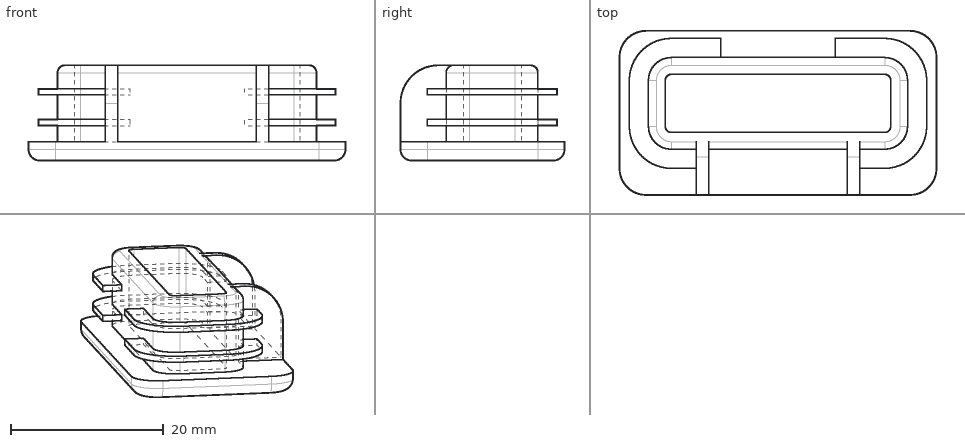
import cadquery as cq

flange_length = 41.5
flange_width = 21.5
flange_thickness = 2.5
flange_corner_radius = 3.5
flange_edge_radius = 1.5

total_height = 12.5
plug_length = 33.9
plug_width = 12.0
plug_corner_radius = 3.0
plug_rim_radius = 1.0
plug_back_margin = 3.5
plug_wall = 2.2
plug_height = total_height - flange_thickness
plug_center_y = flange_width / 2 - plug_back_margin - plug_width / 2

fin_overhang = 2.5
fin_thickness = 0.8
fin_bottom_heights = (4.6, 8.6)
fin_back_gap = 15.0

rib_thickness = 1.65
rib_clear_spacing = 18.1
rib_corner_radius = 5.0
rib_front_y = -flange_width / 2
rib_back_y = plug_center_y - plug_width / 2 + plug_rim_radius
rib_outer_spacing = rib_clear_spacing + 2 * rib_thickness


def rounded_block(length, width, height, corner_radius, center_y, bottom_z):
    """Upright block with rounded vertical edges, centred on x = 0."""
    return (
        cq.Workplane("XY", origin=(0, center_y, bottom_z))
        .rect(length, width)
        .extrude(height)
        .edges("|Z")
        .fillet(corner_radius)
    )


def make_flange():
    flange = rounded_block(
        flange_length, flange_width, flange_thickness, flange_corner_radius, 0, 0
    )
    return flange.faces("<Z").edges().fillet(flange_edge_radius)


def make_plug():
    plug = rounded_block(
        plug_length, plug_width, plug_height, plug_corner_radius, plug_center_y, flange_thickness
    )
    return plug.faces(">Z").edges().fillet(plug_rim_radius)


def make_cavity():
    """Blind pocket of even wall thickness, with its floor level with the flange top."""
    return rounded_block(
        plug_length - 2 * plug_wall,
        plug_width - 2 * plug_wall,
        plug_height,
        plug_corner_radius - plug_wall,
        plug_center_y,
        flange_thickness,
    )


def make_fin_pair(bottom_z):
    """Rounded sheet around the plug, cut away at the back and between the ribs."""
    fin_width = plug_width + 2 * fin_overhang
    fins = rounded_block(
        plug_length + 2 * fin_overhang,
        fin_width,
        fin_thickness,
        plug_corner_radius + fin_overhang,
        plug_center_y,
        bottom_z,
    )
    for gap_length, side in ((fin_back_gap, 1), (rib_outer_spacing, -1)):
        gap = (
            cq.Workplane("XY", origin=(0, plug_center_y + side * fin_width / 4, bottom_z))
            .rect(gap_length, fin_width / 2)
            .extrude(fin_thickness)
        )
        fins = fins.cut(gap)
    return fins


def make_rib(left_x):
    """Upright rib whose upper front corner is rounded."""
    rib = cq.Workplane("XY").box(
        rib_thickness, rib_back_y - rib_front_y, plug_height, centered=False
    )
    rib = rib.edges("|X and <Y and >Z").fillet(rib_corner_radius)
    return rib.translate((left_x, rib_front_y, flange_thickness))


result = make_flange().union(make_plug())
for fin_bottom in fin_bottom_heights:
    result = result.union(make_fin_pair(fin_bottom))
for rib_left_x in (-rib_outer_spacing / 2, rib_clear_spacing / 2):
    result = result.union(make_rib(rib_left_x))
result = result.cut(make_cavity())